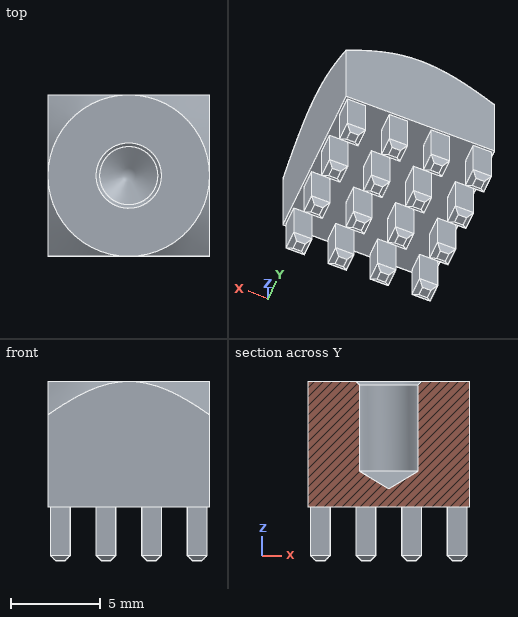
import cadquery as cq
import math

block_side = 9.0
block_height = 7.0
crown_angle = 45.0

pins_per_side = 4
pin_pitch = 2.54
pin_side = 1.11
pin_length = 3.0
tip_chamfer = 0.3

hole_diameter = 3.24
hole_depth = 5.0
hole_chamfer = 0.2
drill_point_angle = 118.0


def make_block():
    """Square block whose top corners are cut by a cone meeting the top face in its inscribed circle."""
    block = cq.Workplane("XY").rect(block_side, block_side).extrude(block_height)
    top_radius = block_side / 2
    base_radius = top_radius + block_height / math.tan(math.radians(crown_angle))
    crown_cone = (
        cq.Workplane("XZ")
        .polyline([(0, 0), (base_radius, 0), (top_radius, block_height), (0, block_height)])
        .close()
        .revolve(360, (0, 0, 0), (0, 1, 0))
    )
    return block.intersect(crown_cone)


def make_hole():
    """Solid to be cut away: entry chamfer, straight bore and conical bottom."""
    radius = hole_diameter / 2
    point_depth = radius / math.tan(math.radians(drill_point_angle / 2))
    bore_bottom = block_height - hole_depth
    return (
        cq.Workplane("XZ")
        .moveTo(0, block_height)
        .lineTo(radius + hole_chamfer, block_height)
        .lineTo(radius, block_height - hole_chamfer)
        .lineTo(radius, bore_bottom)
        .lineTo(0, bore_bottom - point_depth)
        .close()
        .revolve(360, (0, 0, 0), (0, 1, 0))
    )


def make_pins():
    """Full square grid of pins hanging below the block."""
    return (
        cq.Workplane("XY")
        .rarray(pin_pitch, pin_pitch, pins_per_side, pins_per_side)
        .rect(pin_side, pin_side)
        .extrude(-pin_length)
        .faces("<Z")
        .chamfer(tip_chamfer)
    )


result = make_block().cut(make_hole()).union(make_pins())